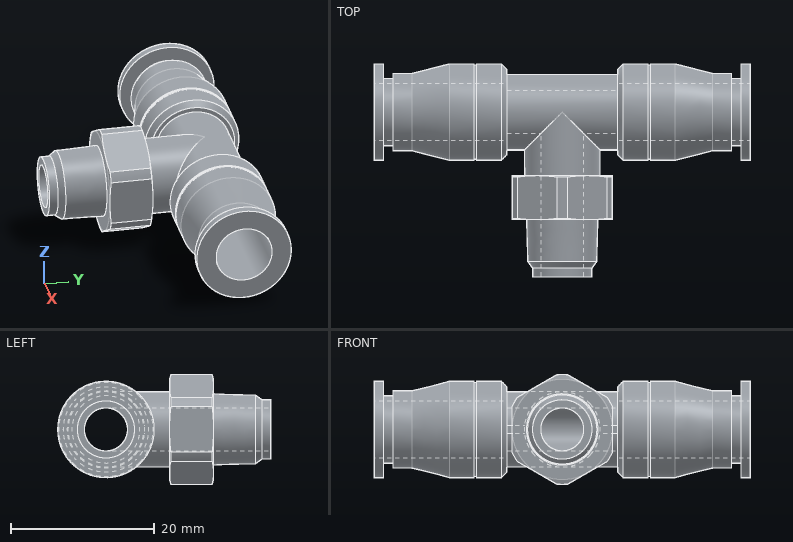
import cadquery as cq
import math

half_length = 26.25
flange_inner = 24.95
neck_inner = 23.6
sleeve_inner = 21.0
cone_inner = 15.75
groove_outer = 12.3
groove_inner = 11.95
collar_inner = 7.7
collar_chamfer = 0.8
collar_radius = 13.5 / 2
sleeve_radius = 10.8 / 2
neck_radius = 9.45 / 2
groove_depth = 0.15
pipe_radius = 10.55 / 2
rib_width = 1.1
rib_reach = 5.35

nut_start = 8.85
nut_end = 15.0
nut_across_flats = 14.0
nut_corner_diameter = 15.4
nut_chamfer_angle = 15.0
thread_end = 20.85
thread_chamfer_end = 21.8
branch_end = 29.75 - collar_radius
thread_base_radius = 5.0
thread_end_radius = 4.85
tip_radius = 8.3 / 2

bore_radius = 6.0 / 2
socket_radius = 8.0 / 2
socket_depth = half_length - collar_inner


def branch_cylinder(radius, start, end):
    """Cylinder on the branch axis between two distances from the run axis."""
    plane = cq.Workplane("XZ").workplane(offset=start)
    return plane.circle(radius).extrude(end - start)


def revolve_about_branch(points):
    """Revolve (radius, -distance) points about the Y axis."""
    return cq.Workplane("XY").polyline(points).close().revolve(360, (0, 0), (0, 1))


def make_run_end():
    """Push-in socket at the +X end of the run."""
    groove_radius = collar_radius - groove_depth
    profile = [
        (collar_inner, 0),
        (collar_inner, collar_radius - collar_chamfer),
        (collar_inner + collar_chamfer, collar_radius),
        (groove_inner, collar_radius),
        (groove_inner, groove_radius),
        (groove_outer, groove_radius),
        (groove_outer, collar_radius),
        (cone_inner, collar_radius),
        (sleeve_inner, sleeve_radius),
        (neck_inner, sleeve_radius),
        (neck_inner, neck_radius),
        (flange_inner, neck_radius),
        (flange_inner, collar_radius),
        (half_length, collar_radius),
        (half_length, 0),
    ]
    return cq.Workplane("XY").polyline(profile).close().revolve(360, (0, 0), (1, 0))


def make_rib():
    """Shallow flat rib along the -Y side of the run pipe, between the collars."""
    rib = cq.Workplane("XY").box(2 * collar_inner, rib_reach, rib_width)
    return rib.translate((0, -rib_reach / 2, 0))


def make_nut():
    """Hexagon with corners on the Z axis, rounded corners and chamfered ends."""
    hexagon = (
        cq.Workplane("XZ")
        .workplane(offset=nut_start)
        .transformed(rotate=(0, 0, 90))
        .polygon(6, nut_across_flats / math.cos(math.pi / 6))
        .extrude(nut_end - nut_start)
    )
    corner_radius = nut_corner_diameter / 2
    face_radius = nut_across_flats / 2
    drop = (corner_radius - face_radius) * math.tan(math.radians(nut_chamfer_angle))
    envelope = revolve_about_branch([
        (0, -nut_start),
        (face_radius, -nut_start),
        (corner_radius, -nut_start - drop),
        (corner_radius, -nut_end + drop),
        (face_radius, -nut_end),
        (0, -nut_end),
    ])
    return hexagon.intersect(envelope)


def make_thread():
    """Tapered thread blank with a chamfer down to a plain tip."""
    return revolve_about_branch([
        (0, -nut_end),
        (thread_base_radius, -nut_end),
        (thread_end_radius, -thread_end),
        (tip_radius, -thread_chamfer_end),
        (tip_radius, -branch_end),
        (0, -branch_end),
    ])


def make_bores():
    """Passage through the run and branch, with a tube socket at each run end."""
    bores = cq.Workplane("YZ").circle(bore_radius).extrude(half_length, both=True)
    bores = bores.union(branch_cylinder(bore_radius, 0, branch_end))
    for side in (-1, 1):
        mouth = cq.Workplane("YZ").workplane(offset=side * half_length)
        bores = bores.union(mouth.circle(socket_radius).extrude(-side * socket_depth))
    return bores


run_end = make_run_end()
body = cq.Workplane("YZ").circle(pipe_radius).extrude(collar_inner, both=True)
body = body.union(make_rib())
body = body.union(run_end)
body = body.union(run_end.mirror("YZ"))
body = body.union(branch_cylinder(pipe_radius, 0, nut_start))
body = body.union(make_nut())
body = body.union(make_thread())
result = body.cut(make_bores())